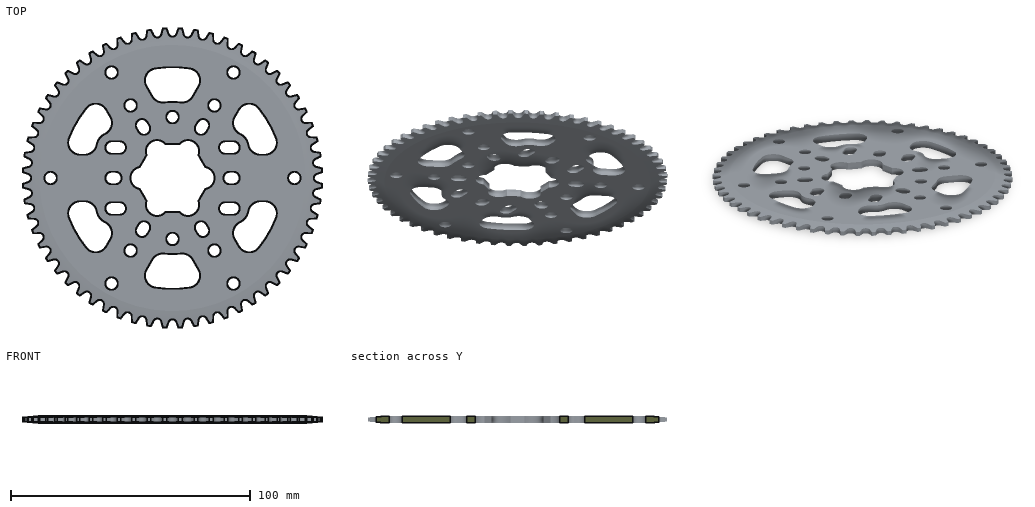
import cadquery as cq
import math

thickness = 3.0
tooth_count = 60
chain_pitch = 6.35
pitch_radius = chain_pitch / 2 / math.sin(math.pi / tooth_count)
seat_radius = 1.70
flank_angle = 20.5
overall_size = 124.84

taper_start_radius = 55.5
tip_thickness = 1.7

spoke_angle = 60

bore_across_flats = 28.2
lobe_centre_radius = 12.9
lobe_radius = 4.6

hole_diameter = 5.1
outer_hole_radius = 50.8
middle_hole_radius = 34.925
inner_hole_radius = 25.4
short_slot_inner_radius = 23.81
long_slot_offset = inner_hole_radius / 2
long_slot_start = inner_hole_radius * math.cos(math.radians(spoke_angle / 2))

pocket_inner_radius = 31.75
pocket_outer_radius = 46.2
spoke_half_width = 9.75
pocket_fillet = 5.0
slot_wall_radius = 6.35


def polar(radius, angle):
    """Point at a radius and an angle in degrees."""
    return (radius * math.cos(math.radians(angle)), radius * math.sin(math.radians(angle)))


def through(outline):
    """Extrude an outline through the full plate thickness."""
    return outline.extrude(thickness).translate((0, 0, -thickness / 2))


def flank_half_gap(distance):
    """Half width of a tooth gap at a distance from the disc centre along the gap centre line."""
    slope = math.radians(flank_angle)
    return seat_radius / math.cos(slope) + (distance - pitch_radius) * math.tan(slope)


tip_x = overall_size / 2
tip_corner_angle = math.degrees(math.atan2(flank_half_gap(tip_x), tip_x))
tip_radius = math.hypot(tip_x, flank_half_gap(tip_x))


def make_toothed_disc():
    """Disc whose gaps are a round seat with two tangent flanks."""
    pitch_angle = 360 / tooth_count
    seat_along = pitch_radius - seat_radius * math.sin(math.radians(flank_angle))
    seat_across = seat_radius * math.cos(math.radians(flank_angle))
    seat_end_radius = math.hypot(seat_along, seat_across)
    seat_end_angle = math.degrees(math.atan2(seat_across, seat_along))
    outline = cq.Workplane("XY").moveTo(*polar(tip_radius, -tip_corner_angle))
    for tooth in range(tooth_count):
        gap = tooth * pitch_angle
        outline = outline.lineTo(*polar(seat_end_radius, gap - seat_end_angle))
        outline = outline.threePointArc(
            polar(pitch_radius - seat_radius, gap), polar(seat_end_radius, gap + seat_end_angle)
        )
        outline = outline.lineTo(*polar(tip_radius, gap + tip_corner_angle))
        outline = outline.threePointArc(
            polar(tip_radius, gap + pitch_angle / 2),
            polar(tip_radius, gap + pitch_angle - tip_corner_angle),
        )
    return through(outline.close())


def make_taper_envelope():
    """Revolved disc that thins from the taper start to the tooth tips."""
    half_profile = [
        (0, -thickness / 2),
        (taper_start_radius, -thickness / 2),
        (tip_radius, -tip_thickness / 2),
        (tip_radius, tip_thickness / 2),
        (taper_start_radius, thickness / 2),
        (0, thickness / 2),
    ]
    return cq.Workplane("XZ").polyline(half_profile).close().revolve(360, (0, 0, 0), (0, 1, 0))


def make_bore():
    """Hexagon with flats facing +Y and -Y, joined with the corner lobes."""
    across_corners = bore_across_flats / math.cos(math.radians(spoke_angle / 2))
    hexagon = through(cq.Workplane("XY").polygon(6, across_corners))
    lobes = through(cq.Workplane("XY").polarArray(lobe_centre_radius, 0, 360, 6).circle(lobe_radius))
    return hexagon.union(lobes)


def make_holes():
    """Round bolt holes on three bolt circles."""
    places = [polar(outer_hole_radius, angle) for angle in range(0, 360, spoke_angle)]
    places += [polar(middle_hole_radius, angle) for angle in (60, 120, 240, 300)]
    places += [polar(inner_hole_radius, angle) for angle in (90, 270)]
    return through(cq.Workplane("XY").pushPoints(places).circle(hole_diameter / 2))


def make_slot(start, end, angle):
    """Slot along X between two end-circle centres, given as points, then turned about Z."""
    centre = ((start[0] + end[0]) / 2, start[1])
    length = end[0] - start[0] + hole_diameter
    slot = through(cq.Workplane("XY").center(*centre).slot2D(length, hole_diameter))
    return slot.rotate((0, 0, 0), (0, 0, 1), angle)


def make_slots():
    """Six short radial slots and four long slots parallel to X."""
    slots = cq.Workplane("XY")
    for angle in range(0, 360, spoke_angle):
        slots = slots.add(make_slot((short_slot_inner_radius, 0), (inner_hole_radius, 0), angle))
    for angle in (0, 180):
        for offset in (-long_slot_offset, long_slot_offset):
            start = (long_slot_start, offset)
            slots = slots.add(make_slot(start, (inner_hole_radius, offset), angle))
    return slots.combine()


def make_pocket(inner_wall):
    """Pocket on the +Y axis: a wedge between two spokes, closed inward by a wall, with round corners."""
    apex = spoke_half_width / math.cos(math.radians(spoke_angle))
    reach = pocket_outer_radius
    half_width = reach * math.tan(math.radians(spoke_angle / 2))
    wedge_points = [(0, apex), (half_width, apex + reach), (-half_width, apex + reach)]
    wedge = through(cq.Workplane("XY").polyline(wedge_points).close())
    disc = through(cq.Workplane("XY").circle(pocket_outer_radius))
    pocket = wedge.intersect(disc).cut(inner_wall).solids(">Y")
    return cq.Workplane(pocket.val()).edges("|Z").fillet(pocket_fillet)


def make_pockets():
    """Six pockets; the four beside the long slots keep a wall around the slot ends."""
    slot_end_radius = math.hypot(inner_hole_radius, long_slot_offset)
    slot_end_angle = math.degrees(math.atan2(long_slot_offset, inner_hole_radius))
    pockets = cq.Workplane("XY")
    hub = through(cq.Workplane("XY").circle(pocket_inner_radius))
    for angle in (0, 180):
        pockets = pockets.add(make_pocket(hub).rotate((0, 0, 0), (0, 0, 1), angle))
    wall_outline = cq.Workplane("XY").pushPoints([polar(slot_end_radius, slot_end_angle + spoke_angle)])
    pocket = make_pocket(through(wall_outline.circle(slot_wall_radius)))
    mirrored = pocket.mirror("YZ")
    for angle in (0, 180):
        pockets = pockets.add(pocket.rotate((0, 0, 0), (0, 0, 1), angle - spoke_angle))
        pockets = pockets.add(mirrored.rotate((0, 0, 0), (0, 0, 1), angle + spoke_angle))
    return pockets.combine()


result = make_toothed_disc().intersect(make_taper_envelope())
for cutter in (make_bore(), make_holes(), make_slots(), make_pockets()):
    result = result.cut(cutter)